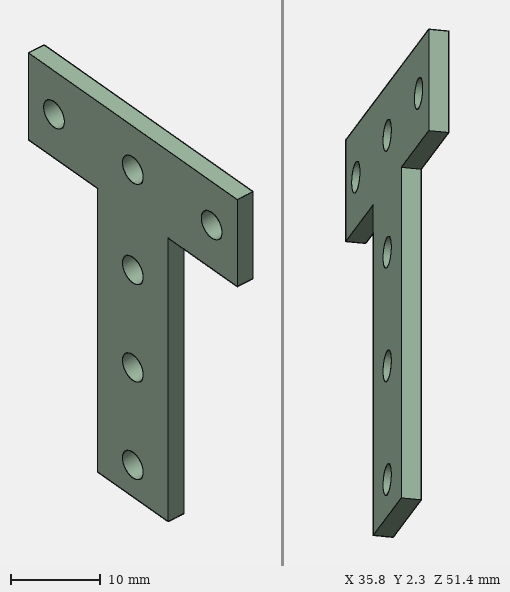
import cadquery as cq

head_width = 35.8
height = 51.4
thickness = 2.3
head_height = 12.1
stem_width = 12.15

hole_diameter = 3.55
hole_pitch = 13.5
bottom_hole_margin = 4.4
stem_hole_count = 3

head_center_z = (height - head_height) / 2
stem_height = height - head_height
stem_center_z = -head_height / 2

head = cq.Workplane("XY").box(head_width, thickness, head_height).translate((0, 0, head_center_z))
stem = cq.Workplane("XY").box(stem_width, thickness, stem_height).translate((0, 0, stem_center_z))
plate = head.union(stem)

head_holes = [(side * hole_pitch, head_center_z) for side in (-1, 0, 1)]
lowest_hole_z = -height / 2 + bottom_hole_margin
stem_holes = [(0, lowest_hole_z + i * hole_pitch) for i in range(stem_hole_count)]

hole_cutters = (
    cq.Workplane("XZ", origin=(0, thickness / 2, 0))
    .pushPoints(head_holes + stem_holes)
    .circle(hole_diameter / 2)
    .extrude(thickness)
)

result = plate.cut(hole_cutters)